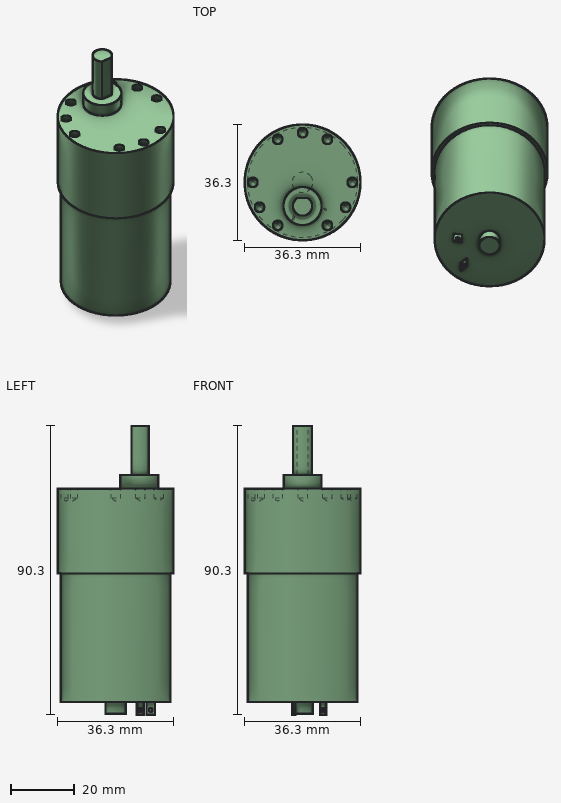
import cadquery as cq
import math

TOTAL_HEIGHT = 90.35
BOSS_TOP = 75.1
GEARBOX_TOP = 70.7
GEARBOX_BOTTOM = 44.3
MOTOR_BOTTOM = 4.0
HUB_BOTTOM = 0.3
TERMINAL_BOTTOM = 0.0

GEARBOX_DIAMETER = 36.3
SHAFT_OFFSET = 7.4
BOSS_DIAMETER = 11.9
SHAFT_DIAMETER = 6.05
SHAFT_FLAT_THICKNESS = 5.5

HOLE_CIRCLE_RADIUS = 15.5
HOLE_DIAMETER = 3.0
HOLE_DEPTH = 3.0
DRILL_POINT_ANGLE = 118.0
HOLE_ANGLES = [0, 60, 90, 120, 180, 210, 240, 300, 330]

MOTOR_DIAMETER = 34.4
HUB_DIAMETER = 6.4
TERMINAL_WIDTH = 2.7
TERMINAL_THICKNESS = 0.45
TERMINAL_HOLE_DIAMETER = 1.2
TERMINAL_HOLE_HEIGHT = 1.5
TERMINAL_CENTERS = [(-2.8, -11.0), (6.5, -7.7)]


def cylinder(diameter, bottom, top, y=0.0):
    """Vertical cylinder between two heights, centred on X = 0."""
    return cq.Workplane("XY", origin=(0, y, bottom)).circle(diameter / 2).extrude(top - bottom)


def make_shaft():
    """Output shaft with one flat along its full length, facing +Y."""
    shaft = cylinder(SHAFT_DIAMETER, BOSS_TOP, TOTAL_HEIGHT, -SHAFT_OFFSET)
    height = TOTAL_HEIGHT - BOSS_TOP
    flat_y = SHAFT_FLAT_THICKNESS - SHAFT_DIAMETER / 2 - SHAFT_OFFSET
    keep = (
        cq.Workplane("XY", origin=(0, flat_y, BOSS_TOP))
        .box(SHAFT_DIAMETER, SHAFT_DIAMETER, height, centered=(True, False, False))
        .translate((0, -SHAFT_DIAMETER, 0))
    )
    return shaft.intersect(keep)


def make_mounting_hole(angle):
    """Drilled hole with a conical bottom, revolved about its own axis."""
    radius = HOLE_DIAMETER / 2
    point_depth = radius / math.tan(math.radians(DRILL_POINT_ANGLE / 2))
    drill = (
        cq.Workplane("XZ")
        .polyline([(0, 0), (radius, 0), (radius, -HOLE_DEPTH), (0, -HOLE_DEPTH - point_depth)])
        .close()
        .revolve(360, (0, 0, 0), (0, 1, 0))
    )
    return drill.translate((HOLE_CIRCLE_RADIUS, 0, GEARBOX_TOP)).rotate((0, 0, 0), (0, 0, 1), angle)


def make_gearbox():
    """Gearbox housing with its offset boss, output shaft and mounting holes."""
    gearbox = cylinder(GEARBOX_DIAMETER, GEARBOX_BOTTOM, GEARBOX_TOP)
    gearbox = gearbox.union(cylinder(BOSS_DIAMETER, GEARBOX_TOP, BOSS_TOP, -SHAFT_OFFSET))
    gearbox = gearbox.union(make_shaft())
    for angle in HOLE_ANGLES:
        gearbox = gearbox.cut(make_mounting_hole(angle))
    return gearbox


def make_terminal(x, y):
    """Flat pierced terminal whose width points away from the motor axis."""
    height = MOTOR_BOTTOM - TERMINAL_BOTTOM
    blade = cq.Workplane("XY").box(
        TERMINAL_WIDTH, TERMINAL_THICKNESS, height, centered=(True, True, False)
    )
    hole = (
        cq.Workplane("XZ")
        .center(0, TERMINAL_HOLE_HEIGHT)
        .circle(TERMINAL_HOLE_DIAMETER / 2)
        .extrude(TERMINAL_THICKNESS, both=True)
    )
    direction = math.degrees(math.atan2(y, x))
    return blade.cut(hole).rotate((0, 0, 0), (0, 0, 1), direction).translate((x, y, TERMINAL_BOTTOM))


def make_motor():
    """Motor can with its rear hub and two terminals."""
    motor = cylinder(MOTOR_DIAMETER, MOTOR_BOTTOM, GEARBOX_BOTTOM)
    motor = motor.union(cylinder(HUB_DIAMETER, HUB_BOTTOM, MOTOR_BOTTOM))
    for x, y in TERMINAL_CENTERS:
        motor = motor.union(make_terminal(x, y))
    return motor


gearbox = make_gearbox()
motor = make_motor()
result = cq.Compound.makeCompound([gearbox.val(), motor.val()])